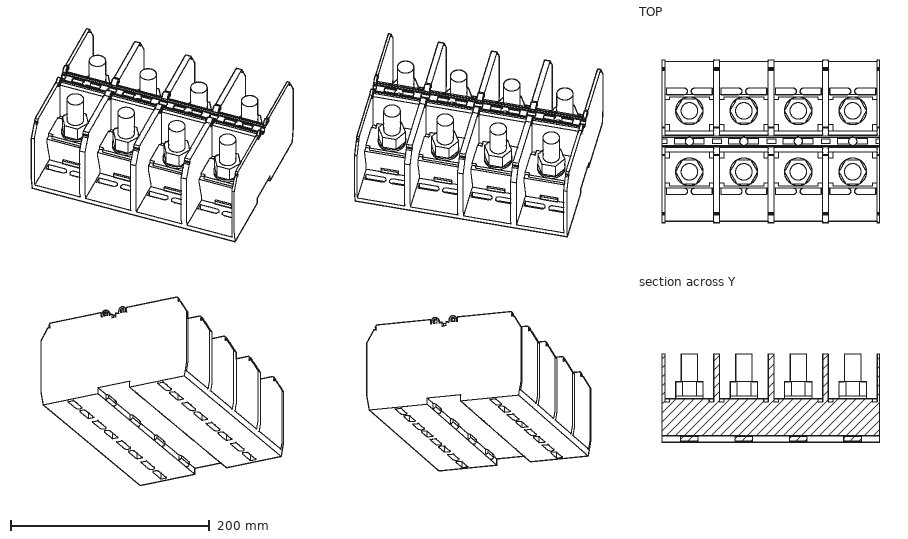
import cadquery as cq


LENGTH = 219.2
MODULES = 4
PITCH = LENGTH / MODULES
LEFT_WALL = 3.3
RIGHT_WALL = 2.6
BAY_START = LEFT_WALL
BAY_END = PITCH - RIGHT_WALL
BAY_CENTER = (BAY_START + BAY_END) / 2

HALF_DEPTH = 82.0
FOOT_HALF_DEPTH = 79.4
FOOT_TAPER_HEIGHT = 15.1
SHOULDER_HEIGHT = 71.0
WALL_TOP = 89.0
WALL_TOP_HALF_DEPTH = 71.5
CORNER_NOTCH_BOTTOM = 84.2
CORNER_NOTCH_TOP = 86.1
CORNER_NOTCH_Y = 72.1
SADDLE_HEIGHT = 84.5
SADDLE_HALF_WIDTH = 14.2

FLOOR = 6.5
FLOOR_HALF_DEPTH = FOOT_HALF_DEPTH + (HALF_DEPTH - FOOT_HALF_DEPTH) * FLOOR / FOOT_TAPER_HEIGHT
RAIL_HALF_WIDTH = 17.8
RAIL_DEPTH = 6.5

LATCH_START = 18.6
LATCH_WIDTH = 18.0
HOOK_REACH = 2.8
HOOK_CHAMFER_BOTTOM = 2.6
HOOK_CHAMFER_TOP = 1.0
NUB_BOTTOM = 8.1
NUB_TOP = 12.0
NUB_TIP_Y = 42.5

SLOT_INNER_Y = 47.1
SLOT_OUTER_Y = 53.5
SLOT_WIDTH = SLOT_OUTER_Y - SLOT_INNER_Y
SLOT_EDGE_GAP = 1.5
SLOT_BRIDGE = 4.0

PEDESTAL_Y = 47.1
PEDESTAL_TOP = 40.8
PEDESTAL_LIP_BOTTOM = 36.5
PEDESTAL_BASE_Y = 40.3
PEDESTAL_BASE_TOP = 11.2

PLATE_TOP = 44.0
PLATE_WIDTH = 40.1
PLATE_OUTER_Y = 44.7
EAR_INNER_Y = 16.9
EAR_OUTER_Y = 41.9

STUD_Y = 30.7
STUD_DIAMETER = 16.7
STUD_TOP = 89.2
NUT_ACROSS_CORNERS = 27.8
NUT_BOTTOM = 46.5
NUT_TOP = 61.2

SPINE_HALF_WIDTH = 10.5
SHELF = 83.3
RIB_TOP = 86.4
RIB_INNER_Y = 5.3
RIB_OUTER_Y = 6.1
STRIP_TOP = 85.0
STRIP_HALF_WIDTH = 4.0
POCKET_START = 12.5
POCKET_END = 42.5
POCKET_WIDTH = 5.7
POCKET_DEPTH = 1.5
HOLE_DIAMETER = 8.3
HOLE_DEPTH = 6.5
END_NOTCH_WIDTH = 4.4
END_NOTCH_BOTTOM = 80.9
END_NOTCH_LEFT = 5.0
END_NOTCH_RIGHT = 3.7

EYELET_Y = 9.5
EYELET_WIDTH = 7.7
EYELET_RADIUS = EYELET_WIDTH / 2
EYELET_TOP = 90.7
EYELET_CENTER_Z = EYELET_TOP - EYELET_RADIUS
EYELET_HOLE_RADIUS = 2.0
EYELET_HOLE_BOTTOM = 84.8

SIDES = (-1, 1)


def box(x_range, y_range, z_range):
    """Box between the given pairs of limits."""
    corners = list(zip(x_range, y_range, z_range))
    sizes = [abs(high - low) for low, high in zip(*corners)]
    centers = [(low + high) / 2 for low, high in zip(*corners)]
    return cq.Workplane("XY").box(*sizes).translate(tuple(centers))


def on_side(side, inner, outer):
    """Y limits of a feature on the given side of the Y = 0 plane."""
    return (side * inner, side * outer)


def prism(points, x_start, x_end):
    """Y-Z outline extruded along X."""
    sketch = cq.Workplane("YZ", origin=(x_start, 0, 0)).polyline(points).close()
    return sketch.extrude(x_end - x_start)


def mirrored_outline(half):
    """Close a half outline (positive Y) with its mirror image."""
    return half + [(-y, z) for y, z in reversed(half)]


def arch(y, z_bottom, z_center, radius, x_start, x_end):
    """Upright with a semicircular top."""
    return (
        cq.Workplane("YZ", origin=(x_start, 0, 0))
        .moveTo(y - radius, z_bottom)
        .lineTo(y - radius, z_center)
        .threePointArc((y, z_center + radius), (y + radius, z_center))
        .lineTo(y + radius, z_bottom)
        .close()
        .extrude(x_end - x_start)
    )


def partition_wall(x_start, x_end):
    """Wall with notched corners, a saddle over the spine and two eyelets."""
    chamfer_run = (HALF_DEPTH - WALL_TOP_HALF_DEPTH) / (WALL_TOP - SHOULDER_HEIGHT)

    def chamfer_y(z):
        return HALF_DEPTH - chamfer_run * (z - SHOULDER_HEIGHT)

    half = [
        (RAIL_HALF_WIDTH, RAIL_DEPTH),
        (RAIL_HALF_WIDTH, 0),
        (FOOT_HALF_DEPTH, 0),
        (HALF_DEPTH, FOOT_TAPER_HEIGHT),
        (HALF_DEPTH, SHOULDER_HEIGHT),
        (chamfer_y(CORNER_NOTCH_BOTTOM), CORNER_NOTCH_BOTTOM),
        (CORNER_NOTCH_Y, CORNER_NOTCH_BOTTOM),
        (CORNER_NOTCH_Y, CORNER_NOTCH_TOP),
        (chamfer_y(CORNER_NOTCH_TOP), CORNER_NOTCH_TOP),
        (WALL_TOP_HALF_DEPTH, WALL_TOP),
        (SADDLE_HALF_WIDTH, WALL_TOP),
        (SADDLE_HALF_WIDTH, SADDLE_HEIGHT),
    ]
    wall = prism(mirrored_outline(half), x_start, x_end)
    for side in SIDES:
        y = side * EYELET_Y
        wall = wall.union(arch(y, SHELF, EYELET_CENTER_Z, EYELET_RADIUS, x_start, x_end))
        wall = wall.cut(
            arch(y, EYELET_HOLE_BOTTOM, EYELET_CENTER_Z, EYELET_HOLE_RADIUS, x_start, x_end)
        )
    return wall


def bay_body():
    """Floor, undercut pedestals and central spine between two walls."""
    half = [
        (RAIL_HALF_WIDTH, RAIL_DEPTH),
        (RAIL_HALF_WIDTH, 0),
        (FOOT_HALF_DEPTH, 0),
        (FLOOR_HALF_DEPTH, FLOOR),
        (PEDESTAL_BASE_Y, FLOOR),
        (PEDESTAL_BASE_Y, PEDESTAL_BASE_TOP),
        (PEDESTAL_Y, PEDESTAL_LIP_BOTTOM),
        (PEDESTAL_Y, PEDESTAL_TOP),
        (SPINE_HALF_WIDTH, PEDESTAL_TOP),
        (SPINE_HALF_WIDTH, SHELF),
    ]
    return prism(mirrored_outline(half), BAY_START, BAY_END)


def floor_slots(side):
    """Two slots through the floor, square at the walls and round at the bridge."""
    slots = cq.Workplane("XY")
    radius = SLOT_WIDTH / 2
    for direction, wall_x in ((1, BAY_START), (-1, BAY_END)):
        square_end = wall_x + direction * SLOT_EDGE_GAP
        arc_center = BAY_CENTER - direction * (SLOT_BRIDGE / 2 + radius)
        slot = box((square_end, arc_center), on_side(side, SLOT_INNER_Y, SLOT_OUTER_Y), (0, FLOOR))
        round_end = cq.Workplane("XY").circle(radius).extrude(FLOOR)
        center_y = side * (SLOT_INNER_Y + SLOT_OUTER_Y) / 2
        slots = slots.add(slot.union(round_end.translate((arc_center, center_y, 0))))
    return slots.combine()


def rail_latch(side):
    """Hook inside the rail recess and nub at the foot of the pedestal."""
    tip_y = side * (RAIL_HALF_WIDTH - HOOK_REACH)
    root_y = side * RAIL_HALF_WIDTH
    hook_outline = [
        (root_y, 0),
        (tip_y, HOOK_CHAMFER_BOTTOM),
        (tip_y, RAIL_DEPTH - HOOK_CHAMFER_TOP),
        (root_y, RAIL_DEPTH),
    ]
    latch_end = LATCH_START + LATCH_WIDTH
    hook = prism(hook_outline, LATCH_START, latch_end)
    nub_y = on_side(side, RAIL_HALF_WIDTH, NUB_TIP_Y)
    return hook.union(box((LATCH_START, latch_end), nub_y, (NUB_BOTTOM, NUB_TOP)))


def terminal(side):
    """Contact plate with ears, washer, hexagon nut and stud."""
    plate_x = (BAY_CENTER - PLATE_WIDTH / 2, BAY_CENTER + PLATE_WIDTH / 2)
    plate_z = (PEDESTAL_TOP, PLATE_TOP)
    plate = box(plate_x, on_side(side, SPINE_HALF_WIDTH, PLATE_OUTER_Y), plate_z)
    ears = box((BAY_START, BAY_END), on_side(side, EAR_INNER_Y, EAR_OUTER_Y), plate_z)

    axis = cq.Workplane("XY", origin=(BAY_CENTER, side * STUD_Y, PLATE_TOP))
    washer = axis.circle(NUT_ACROSS_CORNERS / 2).extrude(NUT_BOTTOM - PLATE_TOP)
    nut = (
        axis.workplane(offset=NUT_BOTTOM - PLATE_TOP)
        .polygon(6, NUT_ACROSS_CORNERS)
        .extrude(NUT_TOP - NUT_BOTTOM)
    )
    stud = axis.circle(STUD_DIAMETER / 2).extrude(STUD_TOP - PLATE_TOP)
    return plate.union(ears).union(washer).union(nut).union(stud)


def spine_rails():
    """Two thin ribs and the marker strip along the top of the spine."""
    x_range = (0, PITCH)
    strip = box(x_range, (-STRIP_HALF_WIDTH, STRIP_HALF_WIDTH), (SHELF, STRIP_TOP))
    bed = box(x_range, (-RIB_OUTER_Y, RIB_OUTER_Y), (SHELF, SADDLE_HEIGHT))
    rails = strip.union(bed)
    for side in SIDES:
        rails = rails.union(box(x_range, on_side(side, RIB_INNER_Y, RIB_OUTER_Y), (SHELF, RIB_TOP)))
    return rails


def marker_recesses():
    """Pocket, round hole and end notches sunk into the marker strip."""
    half_pocket = POCKET_WIDTH / 2
    half_notch = END_NOTCH_WIDTH / 2
    pocket_z = (STRIP_TOP - POCKET_DEPTH, STRIP_TOP)
    pocket = box((POCKET_START, POCKET_END), (-half_pocket, half_pocket), pocket_z)
    hole = (
        cq.Workplane("XY", origin=(BAY_CENTER, 0, STRIP_TOP))
        .circle(HOLE_DIAMETER / 2)
        .extrude(-HOLE_DEPTH)
    )
    recesses = pocket.union(hole)
    for x_range in ((0, END_NOTCH_LEFT), (PITCH - END_NOTCH_RIGHT, PITCH)):
        notch = box(x_range, (-half_notch, half_notch), (END_NOTCH_BOTTOM, STRIP_TOP))
        recesses = recesses.add(notch)
    return recesses.combine()


def module():
    """One complete pole, from X = 0 to X = PITCH."""
    pole = bay_body()
    pole = pole.union(partition_wall(0, BAY_START))
    pole = pole.union(partition_wall(BAY_END, PITCH))
    pole = pole.union(spine_rails()).cut(marker_recesses())
    for side in SIDES:
        pole = pole.cut(floor_slots(side))
        pole = pole.union(rail_latch(side))
        pole = pole.union(terminal(side))
    return pole


pole = module()
result = pole
for index in range(1, MODULES):
    result = result.union(pole.translate((index * PITCH, 0, 0)))